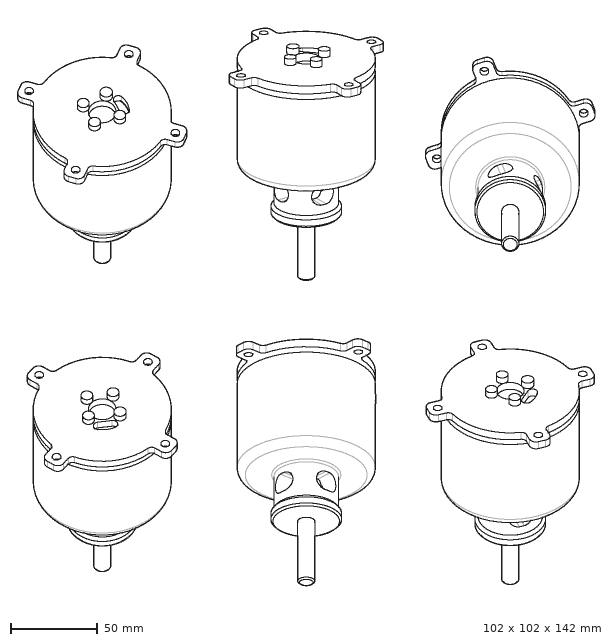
import cadquery as cq
import math

FLANGE_BOTTOM = 40.0
FLANGE_TOP = 47.25
WINDOW_HEIGHT = 58.85
BODY_BOTTOM = 70.25
BODY_TOP = 129.5
PLATE_BOTTOM = 133.0
PLATE_THICKNESS = 5.0
PLATE_TOP = PLATE_BOTTOM + PLATE_THICKNESS

SHAFT_RADIUS = 5.0
SHAFT_CHAMFER = 1.0
FLANGE_RADIUS = 20.5
FLANGE_BOTTOM_CHAMFER = 1.25
FLANGE_CONE_HEIGHT = 2.0
HUB_RADIUS = 18.75
HUB_FILLET = 1.25
BODY_RADIUS = 40.0
BODY_FILLET = 4.75
NECK_RADIUS = 16.0

WINDOW_COUNT = 4
WINDOW_WIDTH = 15.0
WINDOW_OPENING = 12.0
CORE_RADIUS = 8.5
PORT_DIAMETER = 4.0

PLATE_RADIUS = 40.0
TAB_COUNT = 4
TAB_REACH = 51.0
TAB_WIDTH = 12.5
TAB_CORNER_RADIUS = 4.0
TAB_ROOT_FILLET = 3.0
MOUNT_HOLE_DIAMETER = 5.0
MOUNT_HOLE_OFFSET = 45.0
CENTRE_HOLE_DIAMETER = 16.0

SLOT_OUTER_RADIUS = 15.75
SLOT_END_RADIUS = 2.8
SLOT_DIRECTION = 45.0
SLOT_HALF_ANGLE = 19.4

PIN_PROJECTION = 4.0
PINS = [
    (-1.7, 11.45, 3.6),
    (-11.45, -0.6, 3.4),
    (11.35, -1.6, 3.4),
    (-0.6, -11.4, 3.4),
]


def turned_body():
    """Shaft, flange, hub, body and neck as one revolved profile."""
    diagonal = math.sqrt(0.5)
    hub_fillet_start = BODY_BOTTOM - HUB_FILLET
    hub_fillet_end_radius = HUB_RADIUS + HUB_FILLET
    hub_fillet_middle = (
        -hub_fillet_end_radius + HUB_FILLET * diagonal,
        hub_fillet_start + HUB_FILLET * diagonal,
    )
    body_fillet_middle = (
        -(BODY_RADIUS - BODY_FILLET) - BODY_FILLET * diagonal,
        BODY_BOTTOM + BODY_FILLET - BODY_FILLET * diagonal,
    )
    profile = (
        cq.Workplane("XZ")
        .moveTo(0, 0)
        .lineTo(-(SHAFT_RADIUS - SHAFT_CHAMFER), 0)
        .lineTo(-SHAFT_RADIUS, SHAFT_CHAMFER)
        .lineTo(-SHAFT_RADIUS, FLANGE_BOTTOM)
        .lineTo(-(FLANGE_RADIUS - FLANGE_BOTTOM_CHAMFER), FLANGE_BOTTOM)
        .lineTo(-FLANGE_RADIUS, FLANGE_BOTTOM + FLANGE_BOTTOM_CHAMFER)
        .lineTo(-FLANGE_RADIUS, FLANGE_TOP - FLANGE_CONE_HEIGHT)
        .lineTo(-HUB_RADIUS, FLANGE_TOP)
        .lineTo(-HUB_RADIUS, hub_fillet_start)
        .threePointArc(hub_fillet_middle, (-hub_fillet_end_radius, BODY_BOTTOM))
        .lineTo(-(BODY_RADIUS - BODY_FILLET), BODY_BOTTOM)
        .threePointArc(body_fillet_middle, (-BODY_RADIUS, BODY_BOTTOM + BODY_FILLET))
        .lineTo(-BODY_RADIUS, BODY_TOP)
        .lineTo(-NECK_RADIUS, BODY_TOP)
        .lineTo(-NECK_RADIUS, PLATE_BOTTOM)
        .lineTo(0, PLATE_BOTTOM)
        .close()
    )
    return profile.revolve(360, (0, 0, 0), (0, 1, 0))


def hub_windows():
    """Obround windows that run inward through the hub and stop at its core."""
    window = (
        cq.Workplane("YZ", origin=(0, 0, WINDOW_HEIGHT))
        .slot2D(WINDOW_WIDTH, WINDOW_OPENING)
        .extrude(-FLANGE_RADIUS)
    )
    windows = cq.Workplane("XY")
    for index in range(WINDOW_COUNT):
        windows = windows.add(window.rotate((0, 0, 0), (0, 0, 1), index * 360 / WINDOW_COUNT))
    core = cq.Workplane("XY").circle(CORE_RADIUS).extrude(BODY_BOTTOM)
    return windows.combine().cut(core)


def core_ports():
    """Two round bores, from the -X and +Y windows, that meet as an elbow on the axis."""
    port_from_minus_x = (
        cq.Workplane("YZ", origin=(0, 0, WINDOW_HEIGHT))
        .circle(PORT_DIAMETER / 2)
        .extrude(-HUB_RADIUS)
    )
    port_from_plus_y = port_from_minus_x.rotate((0, 0, 0), (0, 0, 1), -90)
    return port_from_minus_x.union(port_from_plus_y)


def plate_slot():
    """Slot with a straight inner side and an outer side centred on the plate axis."""
    end_distance = SLOT_OUTER_RADIUS - SLOT_END_RADIUS
    half_angle = math.radians(SLOT_HALF_ANGLE)
    end_x = end_distance * math.cos(half_angle)
    end_y = end_distance * math.sin(half_angle)
    inner_x = end_x - SLOT_END_RADIUS
    outer_x = SLOT_OUTER_RADIUS * math.cos(half_angle)
    outer_y = SLOT_OUTER_RADIUS * math.sin(half_angle)
    cap_angle = (math.pi + half_angle) / 2
    cap_x = end_x + SLOT_END_RADIUS * math.cos(cap_angle)
    cap_y = end_y + SLOT_END_RADIUS * math.sin(cap_angle)
    return (
        cq.Workplane("XY", origin=(0, 0, PLATE_BOTTOM))
        .moveTo(inner_x, -end_y)
        .lineTo(inner_x, end_y)
        .threePointArc((cap_x, cap_y), (outer_x, outer_y))
        .threePointArc((SLOT_OUTER_RADIUS, 0), (outer_x, -outer_y))
        .threePointArc((cap_x, -cap_y), (inner_x, -end_y))
        .close()
        .extrude(PLATE_THICKNESS)
        .rotate((0, 0, 0), (0, 0, 1), SLOT_DIRECTION)
    )


def tab_root_box():
    """Box selector that holds the tab root corners and leaves out the tab ends."""
    half_size = (PLATE_RADIUS + TAB_REACH - TAB_CORNER_RADIUS) / 2
    return cq.selectors.BoxSelector(
        (-half_size, -half_size, PLATE_BOTTOM),
        (half_size, half_size, PLATE_TOP),
    )


def mounting_plate():
    """Round plate with rounded tabs, mounting holes, a centre hole and a slot."""
    base = cq.Workplane("XY", origin=(0, 0, PLATE_BOTTOM))
    plate = base.circle(PLATE_RADIUS).extrude(PLATE_THICKNESS)
    tab = (
        cq.Workplane("XY", origin=(TAB_REACH / 2, 0, PLATE_BOTTOM))
        .rect(TAB_REACH, TAB_WIDTH)
        .extrude(PLATE_THICKNESS)
        .edges("|Z and >X")
        .fillet(TAB_CORNER_RADIUS)
    )
    for index in range(TAB_COUNT):
        plate = plate.union(tab.rotate((0, 0, 0), (0, 0, 1), index * 360 / TAB_COUNT))
    plate = plate.edges("|Z").edges(tab_root_box()).fillet(TAB_ROOT_FILLET)
    return (
        plate.faces(">Z")
        .workplane(origin=(0, 0, PLATE_TOP))
        .circle(CENTRE_HOLE_DIAMETER / 2)
        .polarArray(MOUNT_HOLE_OFFSET, 0, 360, TAB_COUNT)
        .circle(MOUNT_HOLE_DIAMETER / 2)
        .cutThruAll()
        .cut(plate_slot())
    )


def pins():
    """Round pins standing on the plate around its centre hole."""
    group = cq.Workplane("XY")
    for x, y, radius in PINS:
        pin = cq.Workplane("XY", origin=(x, y, PLATE_TOP)).circle(radius).extrude(PIN_PROJECTION)
        group = group.add(pin)
    return group.combine()


result = turned_body().cut(hub_windows()).cut(core_ports())
result = result.union(mounting_plate()).union(pins())